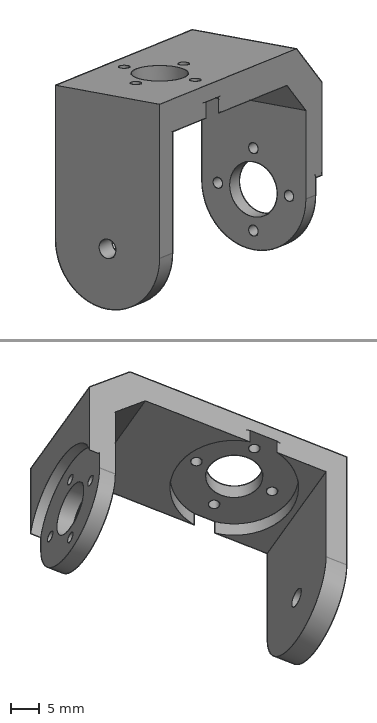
import cadquery as cq

width = 22.0
length = 51.0
height = 39.0
tip_radius = width / 2
top = height - tip_radius

plate_thickness = 5.95
front_leg_thickness = 4.15
back_leg_thickness = 5.1
outer_bevel = 8.0
inner_bevel = 5.95

pivot_diameter = 3.5
hub_diameter = 10.0
screw_diameter = 2.0
screw_circle_radius = 7.5
hub_y = 16.5

hub_x = -0.075

plate_recess_diameter = 22.5
plate_recess_depth = 2.95
back_recess_diameter = 23.0
back_recess_depth = 2.0


def side_profile():
    """Bevelled U outline, extruded across the width."""
    inner_back = length - back_leg_thickness
    underside = top - plate_thickness
    outline = [
        (0, -tip_radius),
        (0, top),
        (length - outer_bevel, top),
        (length, top - outer_bevel),
        (length, -tip_radius),
        (inner_back, -tip_radius),
        (inner_back, underside - inner_bevel),
        (inner_back - inner_bevel, underside),
        (front_leg_thickness, underside),
        (front_leg_thickness, -tip_radius),
    ]
    return cq.Workplane("YZ").polyline(outline).close().extrude(width / 2, both=True)


def rounded_front_outline():
    """Rectangle with a semicircular lower end, running the full length."""
    return (
        cq.Workplane("XZ")
        .moveTo(-tip_radius, 0)
        .lineTo(-tip_radius, top)
        .lineTo(tip_radius, top)
        .lineTo(tip_radius, 0)
        .threePointArc((0, -tip_radius), (-tip_radius, 0))
        .close()
        .extrude(-length)
    )


def hub_holes(workplane, depth):
    """Central hub hole with four screw holes around it."""
    hub = workplane.circle(hub_diameter / 2).extrude(depth)
    screws = (
        workplane.polarArray(screw_circle_radius, 0, 360, 4)
        .circle(screw_diameter / 2)
        .extrude(depth)
    )
    return hub.union(screws)


result = side_profile().intersect(rounded_front_outline())

plate_underside = cq.Workplane("XY", origin=(hub_x, hub_y, top - plate_thickness))
result = result.cut(plate_underside.circle(plate_recess_diameter / 2).extrude(plate_recess_depth))
result = result.cut(hub_holes(plate_underside, plate_thickness))

back_face = cq.Workplane("XZ", origin=(hub_x, length, 0))
result = result.cut(back_face.circle(back_recess_diameter / 2).extrude(back_recess_depth))
result = result.cut(hub_holes(back_face, back_leg_thickness))

pivot_hole = cq.Workplane("XZ").circle(pivot_diameter / 2).extrude(-front_leg_thickness)
result = result.cut(pivot_hole)